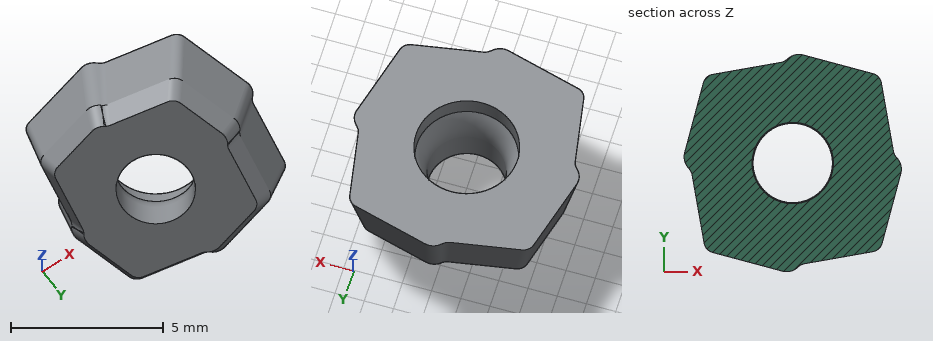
import cadquery as cq
import math

thickness = 2.8
knee_height = 0.705

long_face_distance, long_face_normal = 3.79, 75
short_face_distance, short_face_normal = 3.6, 100
step_distance, step_normal = 3.0, 130
corner_radius = 0.4
peak_radius = 0.535
valley_radius = 0.4

knee_inset = 0.41
bottom_inset = 0.8

entry_radius = 1.73
entry_floor_radius = 1.7
entry_depth = 0.665
seat_depth = 1.665
bore_radius = 2.6 / 2


def unit(angle):
    return math.cos(math.radians(angle)), math.sin(math.radians(angle))


def rounded_corner(face, next_face, radius):
    """Start, middle and end of the arc rounding the corner between two faces, clockwise."""
    distance, normal = face
    next_distance, next_normal = next_face
    half_turn = (normal - next_normal) / 2
    signed_radius = math.copysign(radius, half_turn)
    a, b = distance - signed_radius, next_distance - signed_radius
    (ax, ay), (bx, by) = unit(normal), unit(next_normal)
    determinant = ax * by - ay * bx
    centre_x = (a * by - b * ay) / determinant
    centre_y = (b * ax - a * bx) / determinant
    arc_normals = (normal, normal - half_turn, next_normal)
    directions = [unit(angle) for angle in arc_normals]
    return [(centre_x + signed_radius * x, centre_y + signed_radius * y) for x, y in directions]


def outline(height, inset):
    """Closed outline with every face moved inward by the inset and the rounding radii kept."""
    arcs = []
    for quarter_turn in (0, -90, -180, -270):
        short_face = (short_face_distance - inset, short_face_normal + quarter_turn)
        step = (step_distance - inset, step_normal + quarter_turn)
        long_face = (long_face_distance - inset, long_face_normal + quarter_turn)
        following_face = (short_face_distance - inset, short_face_normal + quarter_turn - 90)
        arcs.append(rounded_corner(short_face, step, valley_radius))
        arcs.append(rounded_corner(step, long_face, peak_radius))
        arcs.append(rounded_corner(long_face, following_face, corner_radius))

    profile = cq.Workplane("XY").workplane(offset=height).moveTo(*arcs[0][0])
    for index, (start, middle, end) in enumerate(arcs):
        if index > 0:
            profile = profile.lineTo(*start)
        profile = profile.threePointArc(middle, end)
    return profile.close().val()


def screw_hole():
    """Revolved cutter whose seat curves smoothly into the bore."""
    rise = seat_depth - entry_depth
    spread = entry_floor_radius - bore_radius
    seat_radius = (rise**2 + spread**2) / (2 * spread)
    half_sweep = math.degrees(math.asin(rise / seat_radius)) / 2
    along, up = unit(half_sweep)
    seat_z = thickness - seat_depth
    seat_middle = (bore_radius + seat_radius * (1 - along), seat_z + seat_radius * up)
    return (
        cq.Workplane("XZ")
        .lineTo(bore_radius, 0)
        .lineTo(bore_radius, seat_z)
        .threePointArc(seat_middle, (entry_floor_radius, thickness - entry_depth))
        .lineTo(entry_radius, thickness)
        .lineTo(0, thickness)
        .close()
        .revolve(360, (0, 0), (0, 1))
    )


bottom = outline(0, bottom_inset)
knee = outline(knee_height, knee_inset)
top = outline(thickness, 0)
lower_flank = cq.Workplane(cq.Solid.makeLoft([bottom, knee], True))
upper_flank = cq.Workplane(cq.Solid.makeLoft([knee, top], True))

result = lower_flank.union(upper_flank).cut(screw_hole())